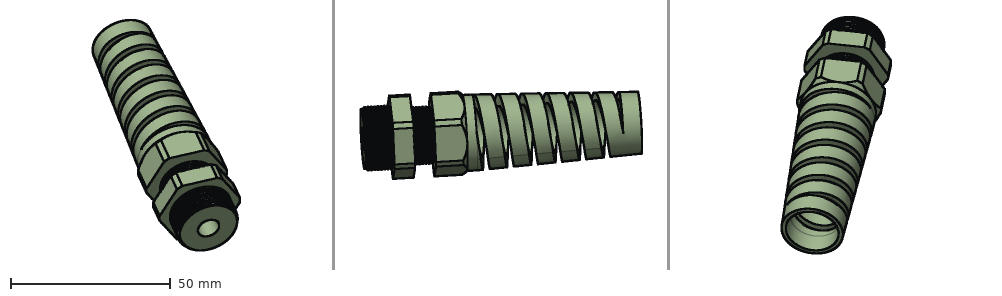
import cadquery as cq
import math


full_turn = 360

end_ring_end = 5.85
collar_start = 51.85
nut_start = 54.95
nut_end = 65.0
flange_start = 71.55
flange_end = 78.0
total_length = 86.87

hexagon_sides = 6
across_flats = 23.88
across_corners = 26.49
nut_chamfer_length = 1.45

sleeve_tip_radius = 9.75
collar_radius = across_flats / 2
bore_tip_radius = 8.35
bore_radius = 7.85
collar_bore_radius = 7.5
slot_pitch = 7.6
slot_width = 2.25
slot_start_angle = 28.0
slot_overshoot = 1.0

thread_pitch = 1.03
thread_depth = 0.55
nut_thread_radius = 9.0
entry_thread_radius = 10.0

cable_radius = 3.5
socket_radius = nut_thread_radius - thread_depth
socket_start = nut_start


def cylinder(radius, start, end):
    return cq.Workplane("YZ", origin=(start, 0, 0)).circle(radius).extrude(end - start)


def cone(start, start_radius, end, end_radius):
    profile = [(start, 0), (start, start_radius), (end, end_radius), (end, 0)]
    return cq.Workplane("XY").polyline(profile).close().revolve(full_turn, (0, 0, 0), (1, 0, 0))


def hexagon(start, end):
    """Hexagonal prism with flats facing +Z and -Z and rounded corners."""
    corner_diameter = across_flats / math.cos(math.pi / hexagon_sides)
    outline = cq.Workplane("YZ", origin=(start, 0, 0)).polygon(hexagon_sides, corner_diameter)
    prism = outline.extrude(end - start)
    return prism.intersect(cylinder(across_corners / 2, start, end))


def ring_thread(crest_radius, start, end):
    """Threaded rod with whole V-shaped ridges from start and a short plain root after the last."""
    root_radius = crest_radius - thread_depth
    ridge_count = math.floor((end - start) / thread_pitch)
    outline = cq.Workplane("XY").moveTo(start, 0).lineTo(start, root_radius)
    for ridge in range(ridge_count):
        ridge_start = start + ridge * thread_pitch
        outline = outline.lineTo(ridge_start + thread_pitch / 2, crest_radius)
        outline = outline.lineTo(ridge_start + thread_pitch, root_radius)
    outline = outline.lineTo(end, root_radius).lineTo(end, 0).close()
    return outline.revolve(full_turn, (0, 0, 0), (1, 0, 0))


def spiral_slot():
    """Right-handed slot through the sleeve wall, cut off square by the end ring and the collar."""
    inner_radius = bore_radius - slot_overshoot
    outer_radius = collar_radius + slot_overshoot
    slot_length = collar_start - end_ring_end
    half_angle = full_turn * slot_width / slot_pitch / 2
    middle_angle = slot_start_angle + half_angle

    def point(radius, offset):
        angle = math.radians(middle_angle + offset)
        return (radius * math.cos(angle), radius * math.sin(angle))

    sector = (
        cq.Workplane("YZ", origin=(end_ring_end, 0, 0))
        .moveTo(*point(inner_radius, -half_angle))
        .lineTo(*point(outer_radius, -half_angle))
        .threePointArc(point(outer_radius, 0), point(outer_radius, half_angle))
        .lineTo(*point(inner_radius, half_angle))
        .threePointArc(point(inner_radius, 0), point(inner_radius, -half_angle))
        .close()
    )
    return sector.twistExtrude(slot_length, full_turn * slot_length / slot_pitch)


def make_cap_nut():
    """Spiral bend-protection sleeve, collar and hexagonal nut in one piece."""
    sleeve = cone(0, sleeve_tip_radius, collar_start, collar_radius)
    sleeve = sleeve.cut(cone(0, bore_tip_radius, end_ring_end, bore_radius))
    sleeve = sleeve.cut(cylinder(bore_radius, end_ring_end, collar_start))
    sleeve = sleeve.cut(spiral_slot())
    collar = cylinder(collar_radius, collar_start, nut_start)
    chamfer_end = nut_start + nut_chamfer_length
    chamfer = cone(nut_start, collar_radius, chamfer_end, across_corners / 2)
    envelope = chamfer.union(cylinder(across_corners / 2, chamfer_end, nut_end))
    nut = hexagon(nut_start, nut_end).intersect(envelope)
    passage = cylinder(collar_bore_radius, collar_start, nut_start)
    socket = cylinder(socket_radius, socket_start, nut_end)
    return sleeve.union(collar.union(nut).cut(passage).cut(socket))


def make_gland_body():
    """Spigot inside the nut, nut thread, hexagonal flange and entry thread."""
    body = cylinder(socket_radius, socket_start, nut_end)
    body = body.union(ring_thread(nut_thread_radius, nut_end, flange_start))
    body = body.union(hexagon(flange_start, flange_end))
    body = body.union(ring_thread(entry_thread_radius, flange_end, total_length))
    return body.cut(cylinder(cable_radius, socket_start, total_length))


cap_nut = make_cap_nut()
gland_body = make_gland_body()

result = cq.Compound.makeCompound([cap_nut.solids().val(), gland_body.solids().val()])